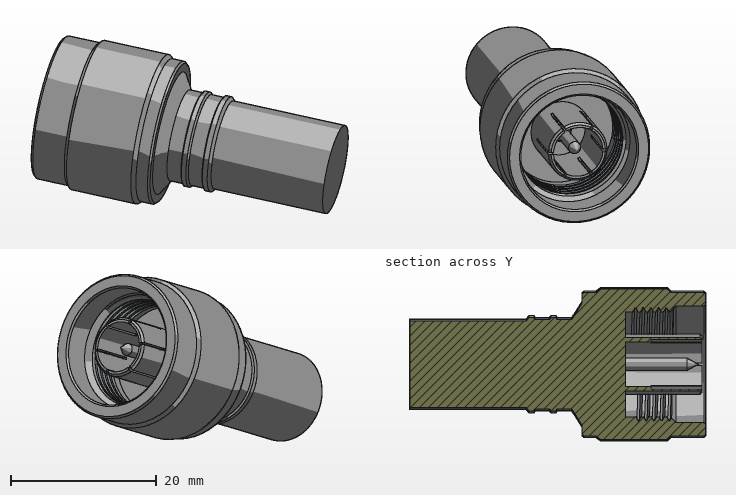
import cadquery as cq
import math


length = 40.6
nut_radius = 10.5
nut_step_radius = 10.05
nut_rim_radius = 9.8
nut_rim_chamfer = 0.3
nut_ramp_start = 4.8
nut_band_start = 5.25
nut_band_end = 14.45
nut_back_step = 15.05
nut_length = 17.0

neck_radius = 6.4
neck_start = 18.4
cone_radius = 8.6
ferrule_radius = 6.2
ring_radius = 6.7
ring_foot = 0.15

neck_rings = [
    (20.4, 21.2, 21.47, neck_radius),
    (23.4, 24.25, 24.65, ferrule_radius),
]

socket_depth = 11.0
socket_mouth_radius = 8.4
socket_radius = 8.15
socket_mouth_chamfer = socket_mouth_radius - socket_radius
lead_in_start = 4.1
lead_in_end = 4.9

thread_minor_radius = 7.38
thread_major_radius = 7.95
thread_pitch = 25.4 / 24
thread_flank_angle = 30.0
thread_run_in = 3.09
thread_end = 10.0
thread_start_angle = 90.0
thread_overlap = 0.1

sleeve_front = 0.5
sleeve_outer_radius = 4.12
sleeve_inner_radius = 3.48
sleeve_chamfer = 0.3
slot_length = 7.0
slot_count = 6
slot_width = 0.3

pin_tip = 1.0
pin_radius = 0.85
pin_cone_length = 1.6
pin_shoulder_radius = 1.45
pin_shoulder_gap = 0.1
pin_gap_depth = 1.0


def revolve_profile(points):
    """Revolve a closed (x, radius) outline around the X axis."""
    return cq.Workplane("XY").polyline(points).close().revolve(360, (0, 0, 0), (1, 0, 0))


def tube(start, end, outer_radius, inner_radius):
    return (
        cq.Workplane("YZ", origin=(start, 0, 0))
        .circle(outer_radius)
        .circle(inner_radius)
        .extrude(end - start)
    )


def make_shell():
    outline = [
        (0, 0),
        (0, nut_rim_radius),
        (nut_rim_chamfer, nut_step_radius),
        (nut_ramp_start, nut_step_radius),
        (nut_band_start, nut_radius),
        (nut_band_end, nut_radius),
        (nut_back_step, nut_step_radius),
        (nut_length - nut_rim_chamfer, nut_step_radius),
        (nut_length, nut_rim_radius),
        (nut_length, cone_radius),
        (neck_start, neck_radius),
    ]
    for foot_start, crest_end, foot_end, radius_behind in neck_rings:
        outline += [
            (foot_start, neck_radius),
            (foot_start + ring_foot, ring_radius),
            (crest_end, ring_radius),
            (foot_end, radius_behind),
        ]
    outline += [(length, ferrule_radius), (length, 0)]
    return revolve_profile(outline)


def make_socket():
    return revolve_profile([
        (0, 0),
        (0, socket_mouth_radius),
        (socket_mouth_chamfer, socket_radius),
        (lead_in_start, socket_radius),
        (lead_in_end, thread_minor_radius),
        (socket_depth, thread_minor_radius),
        (socket_depth, 0),
    ])


def make_thread_cutter():
    """Right-handed helical V groove, built along Z and then laid along X."""
    inner_radius = thread_minor_radius - thread_overlap
    half_mouth = (thread_major_radius - inner_radius) * math.tan(math.radians(thread_flank_angle))
    helix = cq.Wire.makeHelix(thread_pitch, thread_end - thread_run_in, inner_radius)
    groove = (
        cq.Workplane("XZ")
        .polyline([
            (inner_radius, -half_mouth),
            (thread_major_radius, 0),
            (inner_radius, half_mouth),
        ])
        .close()
        .sweep(cq.Workplane(obj=helix), isFrenet=True)
    )
    return (
        groove.rotate((0, 0, 0), (0, 0, 1), thread_start_angle)
        .rotate((0, 0, 0), (0, 1, 0), 90)
        .translate((thread_run_in, 0, 0))
    )


def make_sleeve():
    sleeve = tube(sleeve_front, socket_depth, sleeve_outer_radius, sleeve_inner_radius)
    sleeve = sleeve.faces("<X").edges(cq.selectors.RadiusNthSelector(-1))
    sleeve = sleeve.chamfer(sleeve_chamfer)
    for index in range(slot_count):
        slot = (
            cq.Workplane("XY")
            .box(slot_length, sleeve_outer_radius, slot_width, centered=(False, False, True))
            .translate((sleeve_front, pin_shoulder_radius, 0))
            .rotate((0, 0, 0), (1, 0, 0), index * 360 / slot_count)
        )
        sleeve = sleeve.cut(slot)
    return sleeve


def make_pin():
    return revolve_profile([
        (pin_tip, 0),
        (pin_tip + pin_cone_length, pin_radius),
        (socket_depth, pin_radius),
        (socket_depth, 0),
    ])


def make_pin_gap():
    """Narrow ring groove in the socket floor around the pin shoulder."""
    return tube(
        socket_depth,
        socket_depth + pin_gap_depth,
        pin_shoulder_radius + pin_shoulder_gap,
        pin_shoulder_radius,
    )


result = (
    make_shell()
    .cut(make_socket())
    .cut(make_thread_cutter())
    .union(make_sleeve())
    .union(make_pin())
    .cut(make_pin_gap())
)